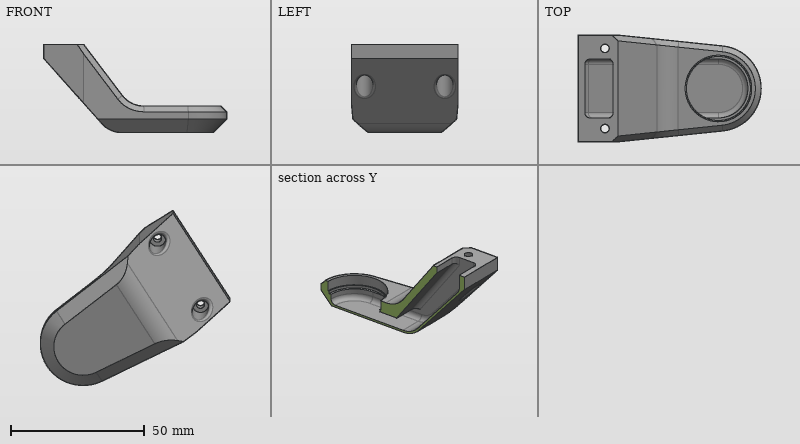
import cadquery as cq
import math

length = 68.5
width = 40.0
height = 33.1

flange_length = 14.9
flange_edge_height = 5.35
plate_thickness = 10.0
bend_radius = 10.0
upper_corner_x = 32.4
lower_corner_x = 24.7

nose_radius = 16.0
nose_x = length - nose_radius
top_chamfer = 2.2
bottom_chamfer = 5.1

recess_x = nose_x
recess_radius = 12.5
recess_step_depth = 4.0
recess_depth = 5.0
recess_step_radius = 12.0

channel_half_width = 11.0
channel_roof_drop = recess_depth
channel_floor_wall = 1.0
channel_edge_radius = 2.0
channel_heel_radius = 5.1
channel_mouth_start = 2.5
channel_mouth_end = 13.1

screw_x = 10.0
screw_y = 15.0
screw_diameter = 3.1
head_diameter = 6.15
head_seat_depth = 5.0
head_mouth_radius = 0.95

select_margin = 0.1

arm_top_slope = (height - plate_thickness) / (upper_corner_x - flange_length)
arm_bottom_slope = (height - flange_edge_height) / lower_corner_x


def side_extrusion(points, half_width):
    """Solid with the given XZ outline, centred on Y = 0."""
    return cq.Workplane("XZ").polyline(points).close().extrude(half_width, both=True)


def edge_along_y(solid, x, z):
    """Select the cross edge at the given XZ position."""
    box = cq.selectors.BoxSelector(
        (x - select_margin, -width, z - select_margin),
        (x + select_margin, width, z + select_margin),
    )
    return solid.edges("|Y").edges(box)


def make_body():
    profile = side_extrusion(
        [
            (0, height),
            (flange_length, height),
            (upper_corner_x, plate_thickness),
            (length, plate_thickness),
            (length, 0),
            (lower_corner_x, 0),
            (0, height - flange_edge_height),
        ],
        width / 2,
    )
    profile = edge_along_y(profile, upper_corner_x, plate_thickness).fillet(bend_radius)
    profile = edge_along_y(profile, lower_corner_x, 0).fillet(bend_radius)

    run = nose_x - flange_length
    side_angle = math.atan2(width / 2, run)
    tangent_angle = side_angle + math.acos(nose_radius / math.hypot(run, width / 2))
    tangent_x = nose_x - nose_radius * math.cos(tangent_angle)
    tangent_y = nose_radius * math.sin(tangent_angle)
    plan = (
        cq.Workplane("XY")
        .moveTo(0, -width / 2)
        .lineTo(flange_length, -width / 2)
        .lineTo(tangent_x, -tangent_y)
        .threePointArc((length, 0), (tangent_x, tangent_y))
        .lineTo(flange_length, width / 2)
        .lineTo(0, width / 2)
        .close()
        .extrude(height)
    )
    plan = plan.faces("<Z").edges("not(<X)").chamfer(bottom_chamfer)
    body = profile.intersect(plan)

    above_plate = cq.selectors.BoxSelector(
        (flange_length - select_margin, -width, plate_thickness - select_margin),
        (length + select_margin, width, height + select_margin),
    )
    rim = body.edges(above_plate).edges("not(|Y)").edges("not(|Z)")
    return rim.chamfer(top_chamfer)


def make_recess():
    """Round bore with a slightly narrower step at its foot."""
    bore = cq.Workplane("XY", origin=(recess_x, 0, plate_thickness))
    upper = bore.circle(recess_radius).extrude(-recess_step_depth)
    lower = bore.circle(recess_step_radius).extrude(-recess_depth)
    return upper.union(lower)


def make_channel():
    roof_z = plate_thickness - channel_roof_drop
    mouth_roof_z = height - channel_roof_drop + (flange_length - channel_mouth_end) * arm_top_slope
    floor_rise = channel_floor_wall * math.hypot(1, arm_bottom_slope)
    heel_z = height - flange_edge_height - channel_mouth_start * arm_bottom_slope + floor_rise
    floor_corner_x = channel_mouth_start + (heel_z - channel_floor_wall) / arm_bottom_slope
    channel = side_extrusion(
        [
            (channel_mouth_start, height),
            (channel_mouth_end, height),
            (channel_mouth_end, mouth_roof_z),
            (upper_corner_x, roof_z),
            (recess_x, roof_z),
            (recess_x, channel_floor_wall),
            (floor_corner_x, channel_floor_wall),
            (channel_mouth_start, heel_z),
        ],
        channel_half_width,
    )
    channel = edge_along_y(channel, channel_mouth_start, heel_z).fillet(channel_heel_radius)
    floor_bend = edge_along_y(channel, floor_corner_x, channel_floor_wall)
    channel = floor_bend.fillet(bend_radius - channel_floor_wall)

    nose = (
        cq.Workplane("XY")
        .circle(channel_half_width)
        .extrude(roof_z - channel_floor_wall)
        .translate((recess_x, 0, channel_floor_wall))
    )
    channel = channel.union(nose)

    plate_roof = cq.selectors.BoxSelector(
        (upper_corner_x, -width, roof_z - select_margin), (length, width, roof_z + select_margin)
    )
    side_edges = channel.faces("|Y").edges("not(|Y)").edges("not(>Z)")
    rounded_edges = side_edges.edges(-plate_roof)
    return rounded_edges.fillet(channel_edge_radius)


def cut_screw_pocket(body, y):
    """Through hole with a head pocket, rounded where it opens on the sloping underside."""
    axis = cq.Workplane("XY").center(screw_x, y)
    seat_z = height - head_seat_depth
    body = body.cut(axis.circle(head_diameter / 2).extrude(seat_z))
    mouth = cq.selectors.BoxSelector(
        (screw_x - head_diameter, y - head_diameter, 0),
        (screw_x + head_diameter, y + head_diameter, seat_z),
    )
    body = body.edges(mouth).edges("%ELLIPSE").fillet(head_mouth_radius)
    return body.cut(axis.circle(screw_diameter / 2).extrude(height))


result = make_body()
for screw_side in (-1, 1):
    result = cut_screw_pocket(result, screw_side * screw_y)
result = result.cut(make_recess()).cut(make_channel())